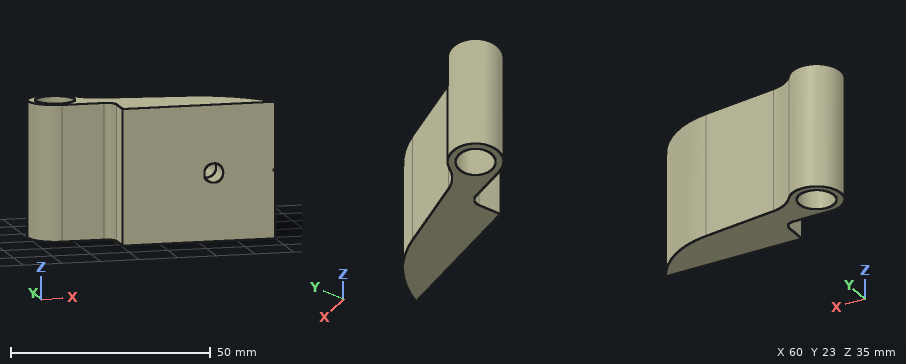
import cadquery as cq
import math

length = 60.0
height = 35.0

depth = 23.0
barrel_radius = 7.0
bore_diameter = 10.0
barrel_x = barrel_radius
barrel_y = depth - barrel_radius

step_x = 20.45
step_fillet = 2.5
neck_y = barrel_y - barrel_radius

slope = math.radians(7.5)
crest_x = 40.7
crest_y = 13.4
neck_blend_radius = 10.0

screw_diameter = 4.9
screw_x = 44.05
screw_depth = 7.2
drill_point_angle = 118.0
pinhole_diameter = 0.2
pinhole_x = 59.65


def neck_blend():
    """Start, middle and end of the arc tangent to the barrel and the sloping back."""
    along = (math.cos(slope), -math.sin(slope))
    normal = (math.sin(slope), math.cos(slope))
    offset_x = crest_x - barrel_x
    offset_y = crest_y - barrel_y
    back_offset = offset_x * normal[0] + offset_y * normal[1]
    across = back_offset + neck_blend_radius
    reach = math.sqrt((barrel_radius + neck_blend_radius) ** 2 - across**2)
    center_x = barrel_x + reach * along[0] + across * normal[0]
    center_y = barrel_y + reach * along[1] + across * normal[1]

    start_angle = math.atan2(barrel_y - center_y, barrel_x - center_x)
    end_angle = -math.pi / 2 - slope
    angles = (start_angle, (start_angle + end_angle) / 2, end_angle)
    return [
        (center_x + neck_blend_radius * math.cos(a), center_y + neck_blend_radius * math.sin(a))
        for a in angles
    ]


def make_body():
    blend_start, blend_middle, blend_end = neck_blend()
    return (
        cq.Workplane("XY")
        .moveTo(step_x, 0)
        .lineTo(step_x, neck_y - step_fillet)
        .radiusArc((step_x - step_fillet, neck_y), -step_fillet)
        .lineTo(barrel_x, neck_y)
        .threePointArc((0, barrel_y), blend_start)
        .threePointArc(blend_middle, blend_end)
        .lineTo(crest_x, crest_y)
        .tangentArcPoint((length, 0), relative=False)
        .close()
        .extrude(height)
    )


def make_bore():
    return cq.Workplane("XY").center(barrel_x, barrel_y).circle(bore_diameter / 2).extrude(height)


def make_screw_hole():
    """Blind hole with a conical drill point, revolved about its axis along Y."""
    radius = screw_diameter / 2
    point_depth = radius / math.tan(math.radians(drill_point_angle / 2))
    return (
        cq.Workplane("XY", origin=(screw_x, 0, height / 2))
        .polyline([(0, 0), (radius, 0), (radius, screw_depth), (0, screw_depth + point_depth)])
        .close()
        .revolve(360, (0, 0), (0, 1))
    )


def make_pinhole():
    """Fine hole running through the thin tip along Y."""
    return (
        cq.Workplane("XZ", origin=(pinhole_x, 0, height / 2))
        .circle(pinhole_diameter / 2)
        .extrude(-depth)
    )


result = make_body().cut(make_bore()).cut(make_screw_hole()).cut(make_pinhole())